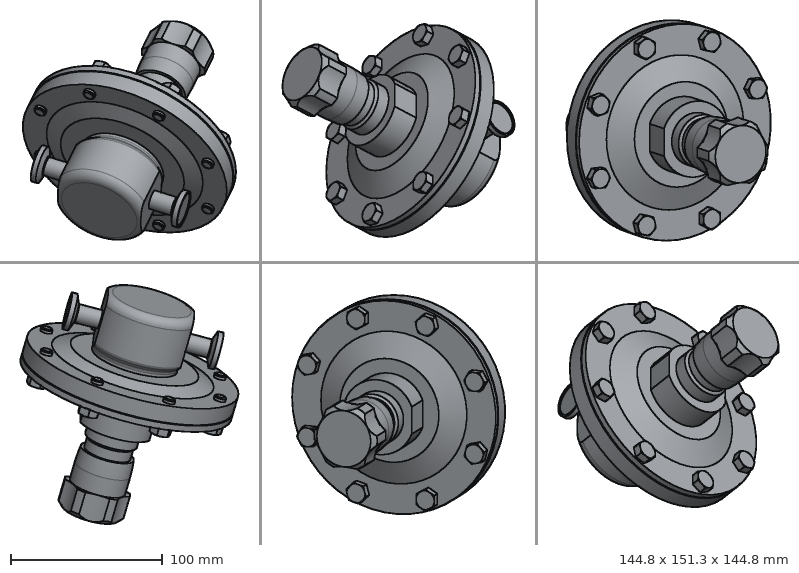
import cadquery as cq
import math

overlap = 0.5

flange_radius = 144.78 / 2
diaphragm_radius = flange_radius - 0.25
diaphragm_thickness = 0.5
front_flange_thickness = 11.8
front_cone_base_radius = 55.4
front_cone_top_radius = 43.8
front_cone_height = 4.15
rear_flange_top = 4.9
rear_cone_base_radius = 51.8
rear_cone_top_radius = 35.2
rear_cone_height = 8.1
front_cover_y = -front_flange_thickness - front_cone_height
rear_cover_y = rear_flange_top + rear_cone_height

body_radius = 33.2
body_neck_radius = 29.2
body_neck_length = 2.1
body_length = 41.82
body_end_fillet = 6.35
body_half_width = 29.46
shoulder_inner_fillet = 3.2
shoulder_outer_fillet = 2.4
body_end_y = front_cover_y - body_length

port_y = -36.8
port_tube_radius = 6.35
port_face_x = 51.8
ferrule_radius = 12.6
ferrule_rim_thickness = 3.7
ferrule_cone_end_radius = 7.0
ferrule_cone_length = 2.3
ferrule_root_length = 0.6
face_recess_radius = 11.35
face_recess_floor_radius = 11.0
face_recess_depth = 0.5

boss_radius = 25.4
boss_half_width = 23.65
boss_length = 19.3
collar_radius = 17.8
collar_length = 9.2
collar_chamfer = 1.8
stem_radius = 15.9
stem_length = 7.3
barrel_radius = 19.05
barrel_length = 12.7
barrel_end_radius = 18.2
barrel_taper_length = 11.4
boss_end_y = rear_cover_y + boss_length
collar_end_y = boss_end_y + collar_length
stem_start_y = collar_end_y + collar_chamfer
barrel_start_y = stem_start_y + stem_length
taper_end_y = barrel_start_y + barrel_taper_length

knob_radius = 22.4
knob_length = 18.85
knob_end_radius = 19.1
knob_chamfer_length = 3.2
scallop_count = 6
scallop_edge_apothem = 20.8
scallop_depth = 1.6
knob_base_y = taper_end_y + barrel_length

bolt_count = 8
bolt_circle_radius = 64.25
bolt_pitch = 360 / bolt_count
bolt_start_angle = -bolt_pitch / 2
bolt_radius = 4.0
bolt_protrusion = 2.75
bolt_end_chamfer = 0.8
bolt_head_sides = 6
bolt_head_across_flats = 12.7
bolt_head_height = 5.9
bolt_head_bevel_length = 0.5
bolt_head_bevel_width = 0.85


def cylinder(radius, y_start, y_end):
    """Cylinder on the Y axis between two stations."""
    return cq.Workplane("XZ", origin=(0, y_start, 0)).circle(radius).extrude(y_start - y_end)


def revolve_about_y(profile):
    """Turn a closed profile drawn in the XY plane about the Y axis."""
    return profile.revolve(360, (0, 0, 0), (0, 1, 0))


def trim_sides(solid, half_width, y_start, y_end):
    """Cut two flats at x = +-half_width."""
    height = solid.val().BoundingBox().zlen
    slab = cq.Workplane("XY").box(2 * half_width, y_end - y_start, height)
    return solid.intersect(slab.translate((0, (y_start + y_end) / 2, 0)))


def make_covers():
    front_flange_y = -front_flange_thickness
    profile = (
        cq.Workplane("XY")
        .moveTo(0, front_cover_y)
        .lineTo(front_cone_top_radius, front_cover_y)
        .lineTo(front_cone_base_radius, front_flange_y)
        .lineTo(flange_radius, front_flange_y)
        .lineTo(flange_radius, 0)
        .lineTo(diaphragm_radius, 0)
        .lineTo(diaphragm_radius, diaphragm_thickness)
        .lineTo(flange_radius, diaphragm_thickness)
        .lineTo(flange_radius, rear_flange_top)
        .lineTo(rear_cone_base_radius, rear_flange_top)
        .lineTo(rear_cone_top_radius, rear_cover_y)
        .lineTo(0, rear_cover_y)
        .close()
    )
    return revolve_about_y(profile)


def make_body():
    """Round body with a 45 degree blended shoulder, a filleted end and two side flats."""
    sin45 = math.sin(math.pi / 4)
    rise45 = 1 - sin45
    sin_half = math.sin(math.pi / 8)
    rise_half = 1 - math.cos(math.pi / 8)
    inner = shoulder_inner_fillet
    outer = shoulder_outer_fillet

    cone_run = body_radius - body_neck_radius - (inner + outer) * rise45
    neck_end_y = front_cover_y - body_neck_length
    cone_start_r = body_neck_radius + inner * rise45
    cone_start_y = neck_end_y - inner * sin45
    cone_end_r = cone_start_r + cone_run
    cone_end_y = cone_start_y - cone_run
    shoulder_end_y = cone_end_y - outer * sin45
    end_fillet_y = body_end_y + body_end_fillet
    end_face_radius = body_radius - body_end_fillet
    root_y = front_cover_y + overlap

    profile = (
        cq.Workplane("XY")
        .moveTo(0, root_y)
        .lineTo(body_neck_radius, root_y)
        .lineTo(body_neck_radius, neck_end_y)
        .threePointArc(
            (body_neck_radius + inner * rise_half, neck_end_y - inner * sin_half),
            (cone_start_r, cone_start_y),
        )
        .lineTo(cone_end_r, cone_end_y)
        .threePointArc(
            (body_radius - outer * rise_half, shoulder_end_y + outer * sin_half),
            (body_radius, shoulder_end_y),
        )
        .lineTo(body_radius, end_fillet_y)
        .threePointArc(
            (end_face_radius + body_end_fillet * sin45, end_fillet_y - body_end_fillet * sin45),
            (end_face_radius, body_end_y),
        )
        .lineTo(0, body_end_y)
        .close()
    )
    return trim_sides(revolve_about_y(profile), body_half_width, body_end_y, root_y)


def make_port():
    """Port on the +X side: tube, ferrule cone and rim with a shallow face recess."""
    root_x = body_half_width - overlap
    rim_x = port_face_x - ferrule_rim_thickness
    cone_end_x = rim_x - ferrule_cone_length
    profile = (
        cq.Workplane("XY")
        .moveTo(root_x, 0)
        .lineTo(root_x, port_tube_radius)
        .lineTo(cone_end_x - ferrule_root_length, port_tube_radius)
        .lineTo(cone_end_x, ferrule_cone_end_radius)
        .lineTo(rim_x, ferrule_radius)
        .lineTo(port_face_x, ferrule_radius)
        .lineTo(port_face_x, face_recess_radius)
        .lineTo(port_face_x - face_recess_depth, face_recess_floor_radius)
        .lineTo(port_face_x - face_recess_depth, 0)
        .close()
    )
    return profile.revolve(360, (0, 0, 0), (1, 0, 0)).translate((0, port_y, 0))


def make_boss():
    root_y = rear_cover_y - overlap
    boss = cylinder(boss_radius, root_y, boss_end_y)
    return trim_sides(boss, boss_half_width, root_y, boss_end_y)


def make_stem():
    """Collar, necked stem and barrel up to the knob."""
    root_y = boss_end_y - overlap
    top_y = knob_base_y + overlap
    profile = (
        cq.Workplane("XY")
        .moveTo(0, top_y)
        .lineTo(barrel_radius, top_y)
        .lineTo(barrel_radius, taper_end_y)
        .tangentArcPoint((barrel_end_radius, barrel_start_y), relative=False)
        .lineTo(stem_radius, barrel_start_y)
        .lineTo(stem_radius, stem_start_y)
        .lineTo(collar_radius, collar_end_y)
        .lineTo(collar_radius, root_y)
        .lineTo(0, root_y)
        .close()
    )
    return revolve_about_y(profile)


def make_knob():
    """Knob with a bevelled end and six concave scallops, the first one facing +Z."""
    knob_end_y = knob_base_y + knob_length
    profile = (
        cq.Workplane("XY")
        .moveTo(0, knob_base_y)
        .lineTo(knob_radius, knob_base_y)
        .lineTo(knob_radius, knob_end_y - knob_chamfer_length)
        .lineTo(knob_end_radius, knob_end_y)
        .lineTo(0, knob_end_y)
        .close()
    )
    knob = revolve_about_y(profile)

    half_chord = math.sqrt(knob_radius**2 - scallop_edge_apothem**2)
    scallop_radius = (half_chord**2 + scallop_depth**2) / (2 * scallop_depth)
    scallop_center_z = scallop_edge_apothem - scallop_depth + scallop_radius
    cutter = cylinder(scallop_radius, knob_base_y, knob_end_y).translate((0, 0, scallop_center_z))
    for index in range(scallop_count):
        angle = index * 360 / scallop_count
        knob = knob.cut(cutter.rotate((0, 0, 0), (0, 1, 0), angle))
    return knob


def make_bolt():
    """Hexagon bolt on the Y axis with a corner of its head on +X."""
    tip_y = -front_flange_thickness - bolt_protrusion
    head_end_y = rear_flange_top + bolt_head_height
    head_corner_radius = bolt_head_across_flats / 2 / math.cos(math.pi / bolt_head_sides)
    shank = cylinder(bolt_radius, rear_flange_top, tip_y).faces("<Y").chamfer(bolt_end_chamfer)
    head = (
        cq.Workplane("XZ", origin=(0, rear_flange_top - overlap, 0))
        .polygon(bolt_head_sides, 2 * head_corner_radius)
        .extrude(-bolt_head_height - overlap)
    )
    bevel_blank = cylinder(head_corner_radius, rear_flange_top - overlap, head_end_y)
    bevel_blank = bevel_blank.faces(">Y").chamfer(bolt_head_bevel_length, bolt_head_bevel_width)
    return shank.union(head.intersect(bevel_blank))


result = make_covers().union(make_body()).union(make_boss()).union(make_stem()).union(make_knob())

port = make_port()
result = result.union(port).union(port.mirror("YZ"))

for index in range(bolt_count):
    angle = bolt_start_angle + index * bolt_pitch
    bolt = make_bolt().rotate((0, 0, 0), (0, 1, 0), bolt_start_angle)
    bolt = bolt.translate((bolt_circle_radius, 0, 0)).rotate((0, 0, 0), (0, 1, 0), angle)
    result = result.union(bolt)